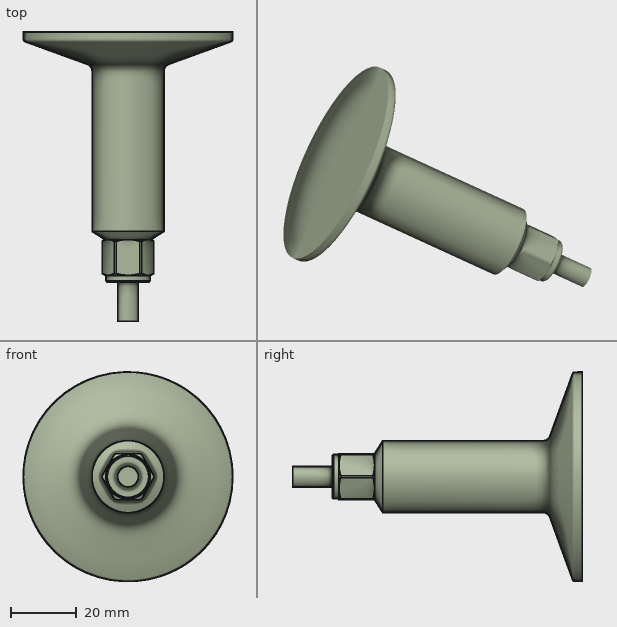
import cadquery as cq
import math

flange_corner_depth = 10.4
body_end = 60.9
hex_start = 63.4
hex_length = 11.0
collar_length = 2.0
pin_length = 12.0
hex_end = hex_start + hex_length
collar_end = hex_end + collar_length
pin_end = collar_end + pin_length

flange_diameter = 64.0
body_diameter = 22.0
body_tip_diameter = 14.0
collar_diameter = 13.6
pin_diameter = 6.3
flange_cone_angle = 20.0
hex_chamfer_angle = 30.0

hex_across_flats = 14.0
hex_corner_diameter = 15.8

rim_fillet = 1.0
neck_fillet = 2.0
collar_chamfer = 0.5
edge_search = 0.1


def cone_height(outer_diameter, inner_diameter, slope):
    """Axial height of a cone between two diameters, sloping from a cross plane."""
    return (outer_diameter - inner_diameter) / 2 * math.tan(math.radians(slope))


def rod(diameter, start, end):
    """Cylinder on the part axis between two distances from the flange face."""
    return cq.Workplane("XZ", origin=(0, -start, 0)).circle(diameter / 2).extrude(end - start)


def revolve_profile(points):
    """Revolve an outline of (radius, distance) points around the part axis."""
    outline = [(radius, -distance) for radius, distance in points]
    return cq.Workplane("XY").polyline(outline).close().revolve(360, (0, 0, 0), (0, 1, 0))


def edge_at(distance):
    """Selector for the circular edge at one distance from the flange face."""
    reach = flange_diameter
    return cq.selectors.BoxSelector(
        (-reach, -distance - edge_search, -reach),
        (reach, -distance + edge_search, reach),
        boundingbox=True,
    )


def make_flange_and_body():
    """Conical flange flowing into the round body, with a tapered body end."""
    flange_radius = flange_diameter / 2
    body_radius = body_diameter / 2
    rim_thickness = flange_corner_depth - cone_height(
        flange_diameter, body_diameter, flange_cone_angle)
    shape = revolve_profile([
        (0, 0),
        (flange_radius, 0),
        (flange_radius, rim_thickness),
        (body_radius, flange_corner_depth),
        (body_radius, body_end),
        (body_tip_diameter / 2, hex_start),
        (0, hex_start),
    ])
    shape = shape.edges(edge_at(rim_thickness)).fillet(rim_fillet)
    return shape.edges(edge_at(flange_corner_depth)).fillet(neck_fillet)


def make_hexagon():
    """Hexagon with corners on the X axis, trimmed corners and chamfered ends."""
    sides = 6
    across_corners = hex_across_flats / math.cos(math.pi / sides)
    prism = (
        cq.Workplane("XZ", origin=(0, -hex_start, 0))
        .polygon(sides, across_corners)
        .extrude(hex_length)
    )
    corner_radius = hex_corner_diameter / 2
    body_side_chamfer = cone_height(hex_corner_diameter, body_tip_diameter, hex_chamfer_angle)
    collar_side_chamfer = cone_height(hex_corner_diameter, collar_diameter, hex_chamfer_angle)
    envelope = revolve_profile([
        (0, hex_start),
        (body_tip_diameter / 2, hex_start),
        (corner_radius, hex_start + body_side_chamfer),
        (corner_radius, hex_end - collar_side_chamfer),
        (collar_diameter / 2, hex_end),
        (0, hex_end),
    ])
    return prism.intersect(envelope)


def make_collar():
    """Short round collar with a chamfered outer end."""
    return rod(collar_diameter, hex_end, collar_end).faces("<Y").chamfer(collar_chamfer)


result = (
    make_flange_and_body()
    .union(make_hexagon())
    .union(make_collar())
    .union(rod(pin_diameter, collar_end, pin_end))
)